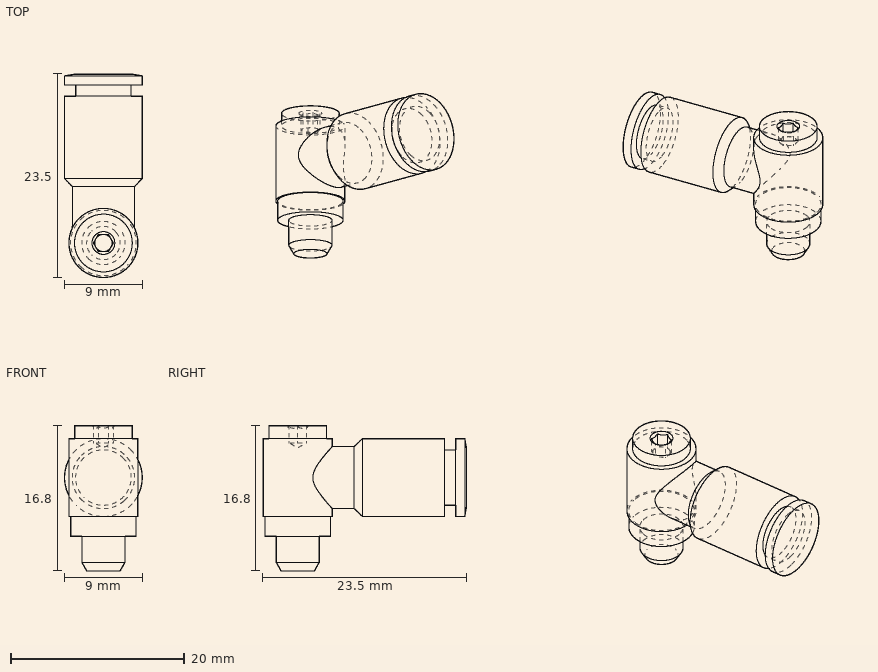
import cadquery as cq
import math

SLEEVE_DIA = 8.0
CAP_DIA = 6.67
COLLAR_DIA = 7.57
STUD_DIA = 5.0
STUD_TIP_DIA = 3.85
TIP_HEIGHT = 1.0
COLLAR_BOTTOM = 4.0
SLEEVE_BOTTOM = 6.3
SLEEVE_HEIGHT = 9.0
TOTAL_HEIGHT = 16.8
SLEEVE_TOP = SLEEVE_BOTTOM + SLEEVE_HEIGHT

HEX_ACROSS_FLATS = 2.0
HEX_DEPTH = 2.0
COUNTERSINK_DIA = 2.63
DRILL_POINT_ANGLE = 120.0

TOTAL_LENGTH = 23.5
PORT_DIA = 9.0
PORT_FACE_DIA = 6.6
GROOVE_DIA = 6.42
NECK_DIA = 7.2
BEVEL_LENGTH = 0.2
FLANGE_LENGTH = 1.27
GROOVE_END = 2.55
BARREL_END = 12.05
TAPER_END = 13.0
PORT_AXIS_Z = SLEEVE_BOTTOM + SLEEVE_HEIGHT / 2
PORT_END_Y = TOTAL_LENGTH - SLEEVE_DIA / 2


def upright_body():
    """Stud, collar, sleeve and cap turned about Z."""
    profile = [
        (0, 0),
        (STUD_TIP_DIA / 2, 0),
        (STUD_DIA / 2, TIP_HEIGHT),
        (STUD_DIA / 2, COLLAR_BOTTOM),
        (COLLAR_DIA / 2, COLLAR_BOTTOM),
        (COLLAR_DIA / 2, SLEEVE_BOTTOM),
        (SLEEVE_DIA / 2, SLEEVE_BOTTOM),
        (SLEEVE_DIA / 2, SLEEVE_TOP),
        (CAP_DIA / 2, SLEEVE_TOP),
        (CAP_DIA / 2, TOTAL_HEIGHT),
        (0, TOTAL_HEIGHT),
    ]
    return cq.Workplane("XZ").polyline(profile).close().revolve(360, (0, 0), (0, 1))


def side_port():
    """Grooved tube port and neck, turned about an axis along Y that ends inside the sleeve."""
    profile = [
        (0, PORT_END_Y),
        (PORT_FACE_DIA / 2, PORT_END_Y),
        (PORT_DIA / 2, PORT_END_Y - BEVEL_LENGTH),
        (PORT_DIA / 2, PORT_END_Y - FLANGE_LENGTH),
        (GROOVE_DIA / 2, PORT_END_Y - FLANGE_LENGTH),
        (GROOVE_DIA / 2, PORT_END_Y - GROOVE_END),
        (PORT_DIA / 2, PORT_END_Y - GROOVE_END),
        (PORT_DIA / 2, PORT_END_Y - BARREL_END),
        (NECK_DIA / 2, PORT_END_Y - TAPER_END),
        (NECK_DIA / 2, 0),
        (0, 0),
    ]
    port = cq.Workplane("XY").polyline(profile).close().revolve(360, (0, 0), (0, 1))
    return port.translate((0, 0, PORT_AXIS_Z))


def hex_socket():
    """Cutter for the hex socket, with a 45 degree countersink and a conical drill point."""
    across_corners = HEX_ACROSS_FLATS / math.cos(math.radians(30))
    hexagon = (
        cq.Workplane("XY")
        .workplane(offset=TOTAL_HEIGHT)
        .polygon(6, across_corners)
        .extrude(-HEX_DEPTH)
    )
    countersink_radius = COUNTERSINK_DIA / 2
    countersink = cq.Workplane(
        cq.Solid.makeCone(
            countersink_radius, 0, countersink_radius, cq.Vector(0, 0, TOTAL_HEIGHT), cq.Vector(0, 0, -1)
        )
    )
    drill_radius = HEX_ACROSS_FLATS / 2
    drill_depth = drill_radius / math.tan(math.radians(DRILL_POINT_ANGLE / 2))
    drill_point = cq.Workplane(
        cq.Solid.makeCone(
            drill_radius, 0, drill_depth, cq.Vector(0, 0, TOTAL_HEIGHT - HEX_DEPTH), cq.Vector(0, 0, -1)
        )
    )
    return hexagon.union(countersink).union(drill_point)


result = upright_body().union(side_port()).cut(hex_socket())